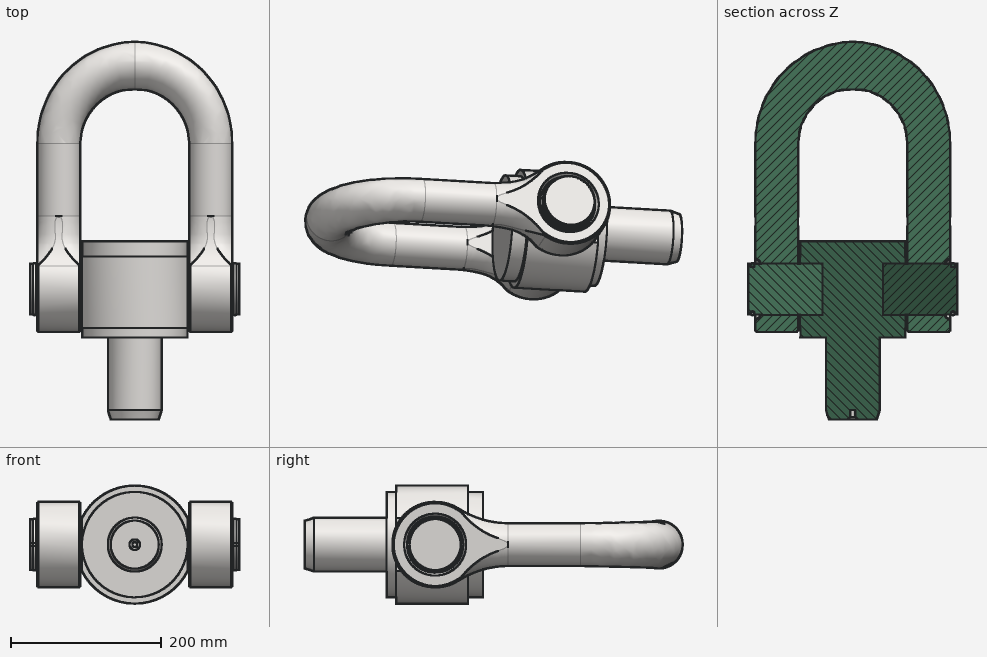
import cadquery as cq
import math

OVERALL_LENGTH = 502.5
OVERALL_WIDTH = 278.0

LEG_X = 101.0
BAR_DIAMETER = 57.5
CROWN_DIAMETER = 64.0
CROWN_TIP_Y = 329.0
BEND_START_Y = 193.5
NECK_END_Y = 97.0
NECK_SWELL = 2.0
EYE_DIAMETER = 114.0
EYE_CHAMFER = 2.0
SEAT_DIAMETER = 75.0
SEAT_DEPTH = 2.0
FLARE_DIAMETER = 82.5
FLARE_DEPTH = 5.5

DRUM_DIAMETER = 157.5
DRUM_FLAT_X = 70.5
DRUM_BACK_Y = 43.5
DRUM_FRONT_Y = -52.0
FLANGE_DIAMETER = 140.0
FLANGE_BACK_Y = 64.0
FLANGE_FRONT_Y = -64.5
STUD_DIAMETER = 72.0
STUD_TIP_DIAMETER = 64.0
STUD_TAPER_LENGTH = 12.5
CENTRE_CONE_DIAMETER = 14.0
CENTRE_HOLE_DIAMETER = 6.5
CENTRE_HOLE_DEPTH = 12.5

PIN_DIAMETER = 68.0
PIN_INNER_X = 40.0
RING_OUTER_DIAMETER = 69.5
RING_WIRE_DIAMETER = 5.0
RING_X = 133.0
RING_GAP = 4.0

BAR_RADIUS = BAR_DIAMETER / 2
EYE_RADIUS = EYE_DIAMETER / 2
STUD_TIP_Y = CROWN_TIP_Y - OVERALL_LENGTH
PIN_OUTER_X = OVERALL_WIDTH / 2
RING_CENTRE_RADIUS = (RING_OUTER_DIAMETER - RING_WIRE_DIAMETER) / 2
EYE_INNER_X = LEG_X - BAR_RADIUS
EYE_OUTER_X = LEG_X + BAR_RADIUS

NECK_RADIUS = (NECK_END_Y**2 + BAR_RADIUS**2 - EYE_RADIUS**2) / (2 * (EYE_RADIUS - BAR_RADIUS))
NECK_CENTRE_Z = BAR_RADIUS + NECK_RADIUS
TANGENT_SHARE = EYE_RADIUS / (EYE_RADIUS + NECK_RADIUS)
TANGENT_Y = NECK_END_Y * TANGENT_SHARE
TANGENT_Z = NECK_CENTRE_Z * TANGENT_SHARE


def x_cylinder(diameter, start_x, end_x):
    return cq.Workplane("YZ", origin=(start_x, 0, 0)).circle(diameter / 2).extrude(end_x - start_x)


def y_cylinder(diameter, start_y, end_y):
    """Cylinder on the stud axis."""
    return cq.Workplane("XZ", origin=(0, start_y, 0)).circle(diameter / 2).extrude(start_y - end_y)


def both_sides(right_half):
    return [right_half, right_half.mirror("YZ")]


def make_eye_blade():
    """Flat eye with a flared neck, as wide as the bar."""
    neck_turn = math.asin((NECK_END_Y - TANGENT_Y) / NECK_RADIUS) / 2
    neck_mid_y = NECK_END_Y - NECK_RADIUS * math.sin(neck_turn)
    neck_mid_z = NECK_CENTRE_Z - NECK_RADIUS * math.cos(neck_turn)
    return (
        cq.Workplane("YZ", origin=(EYE_INNER_X, 0, 0))
        .moveTo(NECK_END_Y, -BAR_RADIUS)
        .lineTo(NECK_END_Y, BAR_RADIUS)
        .threePointArc((neck_mid_y, neck_mid_z), (TANGENT_Y, TANGENT_Z))
        .threePointArc((-EYE_RADIUS, 0), (TANGENT_Y, -TANGENT_Z))
        .threePointArc((neck_mid_y, -neck_mid_z), (NECK_END_Y, -BAR_RADIUS))
        .close()
        .extrude(BAR_DIAMETER)
        .faces("<X or >X").edges("<Y").chamfer(EYE_CHAMFER)
    )


def make_neck_envelope():
    """Turned shape around the leg; it leaves the bar slowly and flares toward the eye."""
    swell_radius = BAR_RADIUS + NECK_SWELL
    corner_radius = math.hypot(BAR_RADIUS, TANGENT_Z)
    clear_radius = EYE_DIAMETER
    third = (NECK_END_Y - TANGENT_Y) / 3
    return (
        cq.Workplane("XY")
        .moveTo(0, NECK_END_Y)
        .lineTo(BAR_RADIUS, NECK_END_Y)
        .bezier(
            [(swell_radius, NECK_END_Y - third), (swell_radius, TANGENT_Y + third), (corner_radius, TANGENT_Y)],
            includeCurrent=True,
        )
        .lineTo(clear_radius, TANGENT_Y)
        .lineTo(clear_radius, -EYE_DIAMETER)
        .lineTo(0, -EYE_DIAMETER)
        .close()
        .revolve(360, (0, 0, 0), (0, 1, 0))
        .translate((LEG_X, 0, 0))
    )


def make_pin_hole_cutter():
    """Pin hole through the eye with a two-stage countersink on its outer face."""
    seat_x = EYE_OUTER_X - FLARE_DEPTH
    return (
        cq.Workplane("XY")
        .moveTo(EYE_INNER_X, 0)
        .lineTo(EYE_INNER_X, PIN_DIAMETER / 2)
        .lineTo(seat_x - SEAT_DEPTH, PIN_DIAMETER / 2)
        .lineTo(seat_x, SEAT_DIAMETER / 2)
        .lineTo(EYE_OUTER_X, FLARE_DIAMETER / 2)
        .lineTo(EYE_OUTER_X, 0)
        .close()
        .revolve(360, (0, 0, 0), (1, 0, 0))
    )


def make_section(diameter, centre, direction):
    """Circle across the bar that starts at its underside."""
    plane = cq.Plane(origin=centre, xDir=(0, 0, -1), normal=direction)
    return cq.Workplane(plane).circle(diameter / 2).wire().val()


def make_half_bend():
    """Quarter-ellipse bend from the leg to the crown."""
    crown_y = CROWN_TIP_Y - CROWN_DIAMETER / 2
    path = (
        cq.Workplane("XY", origin=(0, BEND_START_Y, 0))
        .ellipseArc(LEG_X, crown_y - BEND_START_Y, 0, 90, startAtCurrent=False)
    )
    leg_section = make_section(BAR_DIAMETER, (LEG_X, BEND_START_Y, 0), (0, 1, 0))
    crown_section = make_section(CROWN_DIAMETER, (0, crown_y, 0), (-1, 0, 0))
    return cq.Workplane(cq.Solid.sweep_multi([leg_section, crown_section], path.val()))


def make_bow():
    eye = make_eye_blade().intersect(make_neck_envelope()).cut(make_pin_hole_cutter())
    leg = y_cylinder(BAR_DIAMETER, NECK_END_Y, BEND_START_Y).translate((LEG_X, 0, 0))
    right, left = both_sides(make_half_bend().union(leg).union(eye))
    return right.union(left)


def make_swivel_body():
    flats = cq.Workplane("XY").box(2 * DRUM_FLAT_X, OVERALL_LENGTH, DRUM_DIAMETER)
    drum = y_cylinder(DRUM_DIAMETER, DRUM_FRONT_Y, DRUM_BACK_Y).intersect(flats)
    flanges = y_cylinder(FLANGE_DIAMETER, FLANGE_FRONT_Y, FLANGE_BACK_Y)
    body = drum.union(flanges).union(make_stud())
    for hole in both_sides(x_cylinder(PIN_DIAMETER, PIN_INNER_X, PIN_OUTER_X)):
        body = body.cut(hole)
    return body


def make_stud():
    """Stud with a tapered end and a centre-drilled tip."""
    cone_depth = (CENTRE_CONE_DIAMETER - CENTRE_HOLE_DIAMETER) / 2
    return (
        cq.Workplane("XY")
        .moveTo(0, FLANGE_FRONT_Y)
        .lineTo(STUD_DIAMETER / 2, FLANGE_FRONT_Y)
        .lineTo(STUD_DIAMETER / 2, STUD_TIP_Y + STUD_TAPER_LENGTH)
        .lineTo(STUD_TIP_DIAMETER / 2, STUD_TIP_Y)
        .lineTo(CENTRE_CONE_DIAMETER / 2, STUD_TIP_Y)
        .lineTo(CENTRE_HOLE_DIAMETER / 2, STUD_TIP_Y + cone_depth)
        .lineTo(CENTRE_HOLE_DIAMETER / 2, STUD_TIP_Y + CENTRE_HOLE_DEPTH)
        .lineTo(0, STUD_TIP_Y + CENTRE_HOLE_DEPTH)
        .close()
        .revolve(360, (0, 0, 0), (0, 1, 0))
    )


def make_wire_loop():
    """Closed wire loop around the pin."""
    return (
        cq.Workplane("XY")
        .center(RING_X, RING_CENTRE_RADIUS)
        .circle(RING_WIRE_DIAMETER / 2)
        .revolve(360, (0, -RING_CENTRE_RADIUS, 0), (1, -RING_CENTRE_RADIUS, 0))
    )


def make_pin():
    """Round pin with a groove for the snap ring."""
    return x_cylinder(PIN_DIAMETER, PIN_INNER_X, PIN_OUTER_X).cut(make_wire_loop())


def make_snap_ring():
    """Round-wire ring, open toward the stud tip."""
    gap = cq.Workplane("XY").box(2 * RING_WIRE_DIAMETER, PIN_DIAMETER, RING_GAP)
    return make_wire_loop().cut(gap.translate((RING_X, -PIN_DIAMETER / 2, 0)))


bow = make_bow()
swivel_body = make_swivel_body()
pins = both_sides(make_pin())
snap_rings = both_sides(make_snap_ring())

result = cq.Compound.makeCompound([
    bow.val(),
    swivel_body.val(),
    *[pin.val() for pin in pins],
    *[ring.val() for ring in snap_rings],
])